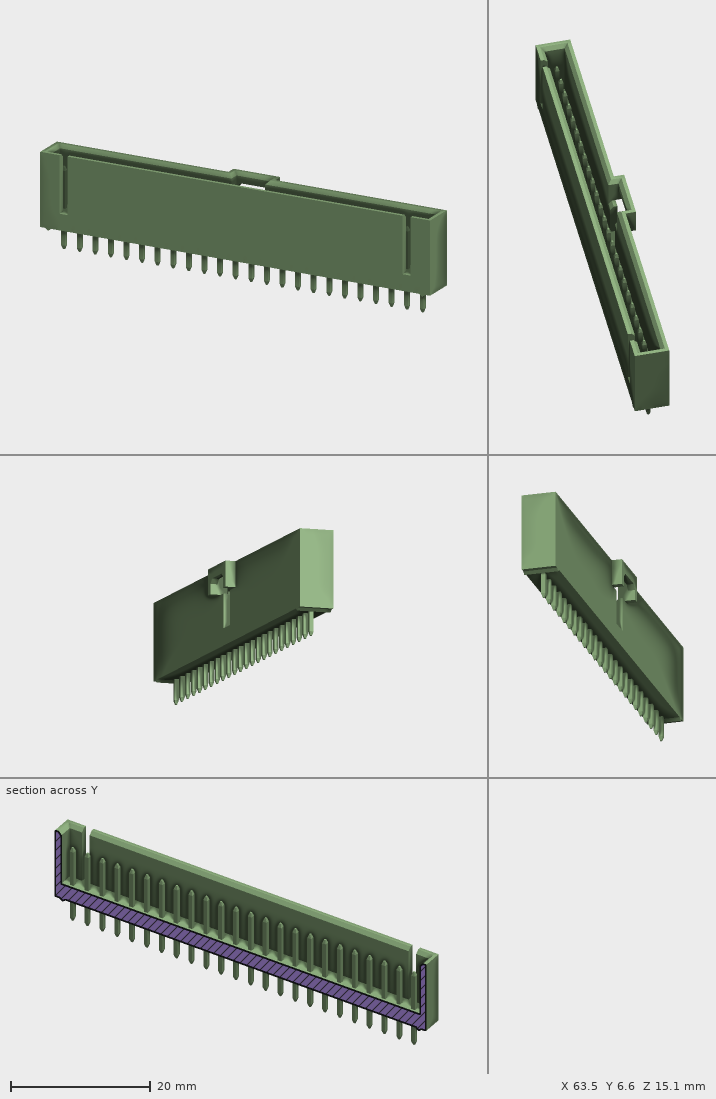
import cadquery as cq

pitch = 2.54
pin_count = 24
housing_length = (pin_count + 1) * pitch
housing_depth = 2 * pitch
housing_height = 4.5 * pitch
wall = 1.06
lead_in = wall / 2
cavity_depth = 3.5 * pitch
floor_height = housing_height - cavity_depth

latch_length = 7.6
latch_reach = 1.52
latch_height = 1.5 * pitch
latch_opening_length = latch_length - 2 * wall
latch_slot_width = 2.95
latch_window_height = 2.2
latch_window_bevel = 0.68
latch_bottom = housing_height - latch_height

front_slot_width = 1.3
front_slot_inset = 1.5 * pitch

rib_width = 1.0
rib_height = 0.38
rib_inset = pitch / 2

pin_width = 0.635
pin_drop = 3.68
pin_top = 8.9
tip_length = 0.6
tip_width = 0.25

front_y = -housing_depth / 2
back_y = housing_depth / 2


def block(x_size, y_min, y_max, z_min, z_max, x_center=0):
    """Box centred on x_center and given by its limits along Y and Z."""
    return (
        cq.Workplane("XY")
        .box(x_size, y_max - y_min, z_max - z_min, centered=(True, False, False))
        .translate((x_center, y_min, z_min))
    )


def chamfered_pocket(x_size, y_min, y_max, z_min, z_top):
    """Cutter for a rectangular pocket whose rim flares outward at 45 degrees at z_top."""
    straight = block(x_size, y_min, y_max, z_min, z_top)
    flare = (
        cq.Workplane("XY")
        .workplane(offset=z_top - lead_in)
        .center(0, (y_min + y_max) / 2)
        .rect(x_size, y_max - y_min)
        .workplane(offset=lead_in)
        .rect(x_size + 2 * lead_in, y_max - y_min + 2 * lead_in)
        .loft(ruled=True)
    )
    return straight.union(flare)


def cavity(z_top):
    """Cutter for the housing interior, its flared rim at z_top."""
    return chamfered_pocket(
        housing_length - 2 * wall, front_y + wall, back_y - wall, floor_height, z_top
    )


def housing():
    body = block(housing_length, front_y, back_y, 0, housing_height)
    return body.cut(cavity(housing_height))


def add_latch(body):
    """Windowed loop, open below, standing off a lowered and slotted stretch of the back wall."""
    latch_y = back_y + latch_reach
    loop = block(latch_length, back_y, latch_y, latch_bottom, housing_height)
    opening = chamfered_pocket(
        latch_opening_length, front_y + wall, latch_y - wall, latch_bottom, housing_height
    )
    ledge_section = block(latch_opening_length, back_y - wall, back_y, floor_height, latch_bottom)
    ledge_bevel = cavity(latch_bottom).intersect(ledge_section)
    slot = block(latch_slot_width, back_y - wall, back_y, floor_height, latch_bottom)
    window_top = latch_bottom + latch_window_height
    window = (
        block(latch_opening_length, latch_y - wall, latch_y, latch_bottom, window_top)
        .edges("|Y and >Z")
        .chamfer(latch_window_bevel)
    )
    return body.union(loop).cut(opening).cut(ledge_bevel).cut(slot).cut(window)


def cut_front_slots(body):
    for side in (-1, 1):
        slot_x = side * (housing_length / 2 - front_slot_inset)
        slot = block(
            front_slot_width, front_y, front_y + wall, floor_height, housing_height, slot_x
        )
        body = body.cut(slot)
    return body


def add_ribs(body):
    for side in (-1, 1):
        rib_x = side * (housing_length / 2 - rib_inset)
        rib = (
            cq.Workplane("XZ", origin=(rib_x, back_y, 0))
            .polyline([(-rib_width / 2, 0), (rib_width / 2, 0), (0, -rib_height)])
            .close()
            .extrude(housing_depth)
        )
        body = body.union(rib)
    return body


def pin_tip(base_z, direction):
    """Square taper from base_z, pointing up for direction 1 and down for -1."""
    return (
        cq.Workplane("XY", origin=(0, 0, base_z))
        .rect(pin_width, pin_width)
        .workplane(offset=direction * tip_length)
        .rect(tip_width, tip_width)
        .loft(ruled=True)
    )


def pin():
    shank_bottom = tip_length - pin_drop
    shank_top = pin_top - tip_length
    shank = block(pin_width, -pin_width / 2, pin_width / 2, shank_bottom, shank_top)
    return shank.union(pin_tip(shank_bottom, -1)).union(pin_tip(shank_top, 1))


def add_pins(body):
    single_pin = pin()
    for index in range(pin_count):
        pin_x = (index - (pin_count - 1) / 2) * pitch
        body = body.union(single_pin.translate((pin_x, 0, 0)))
    return body


result = add_pins(add_ribs(cut_front_slots(add_latch(housing()))))